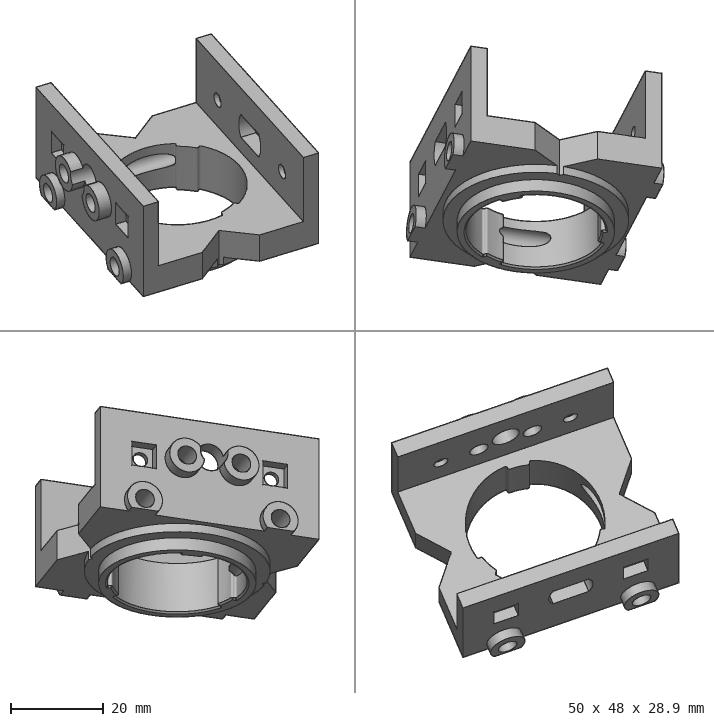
import cadquery as cq
import math

length = 50.0
width = 42.75
height = 24.0
floor_thickness = 7.0
wall_thickness = 3.7

flange_diameter = 40.1
flange_height = 2.0
rim_diameter = 34.0
rim_height = 2.9
bore_diameter = 30.2

tab_inner_radius = 14.1
tab_angle = 19.5
tab_corner_radius = 0.45
tab_count = 3
tab_pitch = 360 / tab_count
first_tab_angle = 23.5
bore_chamfer = 0.4

notch_depth = 5.55
notch_width = 14.0

boss_diameter = 8.0
boss_hole_diameter = 4.25
lower_boss_x = 15.5
lower_boss_z = 2.6
front_lower_boss_length = 2.0
rear_lower_boss_length = 2.25
upper_boss_x = 6.2
upper_boss_length = 3.0

opening_z = 13.95
screw_x = 15.0
screw_hole_diameter = 3.25
nut_pocket_size = 5.65
nut_pocket_depth = 2.5
cable_hole_diameter = 6.25
cable_hole_z = 15.7
window_diameter = 10.2
window_height = 6.0

front_y = -width / 2
rear_y = width / 2
overlap = 0.5


def y_cylinder(diameter, x, z, y_start, y_end):
    """Cylinder along Y between two Y positions."""
    plane = cq.Workplane("XZ", origin=(x, y_start, z))
    return plane.circle(diameter / 2).extrude(y_start - y_end)


def make_cradle():
    gap = width - 2 * wall_thickness
    block = cq.Workplane("XY").box(length, width, height, centered=(True, True, False))
    channel = cq.Workplane("XY", origin=(0, 0, floor_thickness)).box(
        length, gap, height, centered=(True, True, False)
    )
    return block.cut(channel)


def make_collar():
    flange = cq.Workplane("XY").circle(flange_diameter / 2).extrude(-flange_height)
    rim = flange.faces("<Z").workplane().circle(rim_diameter / 2).extrude(rim_height)
    return rim


def make_notch(side):
    """V notch through the floor and collar; side is -1 or +1 along X."""
    end_x = side * length / 2
    apex_x = side * (length / 2 - notch_depth)
    return (
        cq.Workplane("XY", origin=(0, 0, -flange_height))
        .polyline([(end_x, -notch_width / 2), (apex_x, 0), (end_x, notch_width / 2)])
        .close()
        .extrude(flange_height + floor_thickness)
    )


def polar(radius, angle):
    """Point at the given radius and angle in degrees."""
    return (radius * math.cos(math.radians(angle)), radius * math.sin(math.radians(angle)))


def bore_outline(z):
    """Closed bore outline at height z, stepping inward at each tab."""
    bore_radius = bore_diameter / 2
    half_tab = tab_angle / 2
    half_pitch = tab_pitch / 2
    outline = cq.Workplane("XY", origin=(0, 0, z))
    outline = outline.moveTo(*polar(tab_inner_radius, first_tab_angle - half_tab))
    for index in range(tab_count):
        center = first_tab_angle + index * tab_pitch
        next_start = center + tab_pitch - half_tab
        outline = (
            outline.threePointArc(
                polar(tab_inner_radius, center), polar(tab_inner_radius, center + half_tab)
            )
            .lineTo(*polar(bore_radius, center + half_tab))
            .threePointArc(polar(bore_radius, center + half_pitch), polar(bore_radius, next_start))
            .lineTo(*polar(tab_inner_radius, next_start))
        )
    return outline.close()


def make_bore():
    bottom_z = -flange_height - rim_height
    bore = bore_outline(bottom_z).extrude(floor_thickness - bottom_z)
    bore = bore.edges("|Z").fillet(tab_corner_radius)
    flare = bore_outline(bottom_z).offset2D(bore_chamfer).extrude(bore_chamfer, taper=45)
    return bore.union(flare)


def make_window():
    disc = y_cylinder(window_diameter, 0, opening_z, rear_y - wall_thickness, rear_y)
    band = cq.Workplane("XY", origin=(0, rear_y, opening_z)).box(
        window_diameter, 2 * wall_thickness, window_height
    )
    return disc.intersect(band)


def make_lower_boss(x, y_start, y_end):
    """Boss with its lower side cut flush with the underside of the floor."""
    boss = y_cylinder(boss_diameter, x, lower_boss_z, y_start, y_end)
    below = cq.Workplane("XY", origin=(x, 0, 0)).box(
        boss_diameter, 2 * width, boss_diameter, centered=(True, True, False)
    )
    return boss.intersect(below)


body = make_cradle().union(make_collar())
for side in (-1, 1):
    body = body.cut(make_notch(side))
body = body.cut(make_bore())

front_lower_y = front_y - front_lower_boss_length
rear_lower_y = rear_y + rear_lower_boss_length
front_upper_y = front_y - upper_boss_length
front_inner_y = front_y + wall_thickness
for side in (-1, 1):
    lower_x = side * lower_boss_x
    upper_x = side * upper_boss_x
    body = body.union(make_lower_boss(lower_x, front_lower_y, front_y + overlap))
    body = body.union(make_lower_boss(lower_x, rear_y - overlap, rear_lower_y))
    body = body.union(y_cylinder(boss_diameter, upper_x, opening_z, front_upper_y, front_y + overlap))

for side in (-1, 1):
    lower_x = side * lower_boss_x
    upper_x = side * upper_boss_x
    screw = side * screw_x
    body = body.cut(y_cylinder(boss_hole_diameter, lower_x, lower_boss_z, front_lower_y, rear_lower_y))
    body = body.cut(y_cylinder(boss_hole_diameter, upper_x, opening_z, front_upper_y, front_inner_y))
    body = body.cut(y_cylinder(screw_hole_diameter, screw, opening_z, front_y, rear_y))
    for face_y in (front_y, rear_y):
        pocket = cq.Workplane("XY", origin=(screw, face_y, opening_z)).box(
            nut_pocket_size, 2 * nut_pocket_depth, nut_pocket_size
        )
        body = body.cut(pocket)

body = body.cut(y_cylinder(cable_hole_diameter, 0, cable_hole_z, front_upper_y, front_inner_y))
body = body.cut(make_window())

result = body